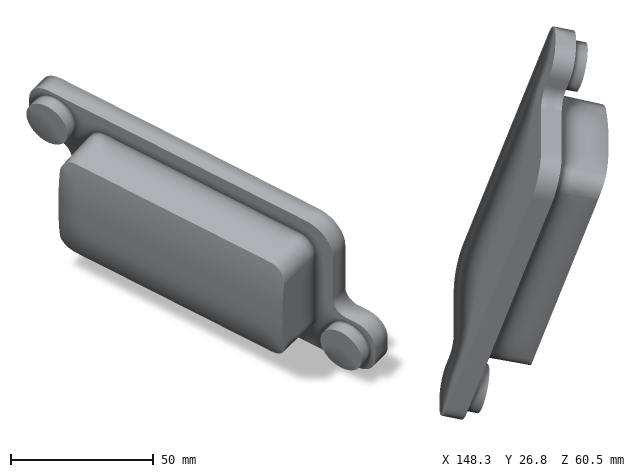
import cadquery as cq
import math


plate_length = 148.3
plate_height = 60.5
plate_thickness = 7.5
body_length = 112.0
ear_height = 22.0
ear_corner_radius = 8.3
ear_root_radius = 5.7
body_corner_radius = 11.4

pad_diameter = 17.7
pad_thickness = 5.0
pad_offset_x = 63.0
pad_offset_z = 19.4

block_length = 96.8
block_height = 45.2
block_rise = 19.3
block_corner_radius = 6.6
draft_angle = 1.2
crown_flat_height = 6.7
crown_radius = 93.0

half_length = plate_length / 2
half_height = plate_height / 2
half_body = body_length / 2
ear_inner_z = half_height - ear_height


def upright_edges_at(points):
    """Select the plate edges along Y at the given (x, z) points."""
    boxes = None
    reach = 0.1
    for x, z in points:
        box = cq.selectors.BoxSelector(
            (x - reach, -plate_thickness, z - reach),
            (x + reach, plate_thickness, z + reach),
        )
        boxes = box if boxes is None else boxes + box
    return boxes


def make_plate():
    """Z-shaped plate: back face at Y = plate_thickness, front face at Y = 0."""
    half_outline = [
        (-half_body, -half_height),
        (half_length, -half_height),
        (half_length, -ear_inner_z),
        (half_body, -ear_inner_z),
    ]
    opposite_half = [(-x, -z) for x, z in half_outline]
    plate = (
        cq.Workplane("XZ")
        .polyline(half_outline + opposite_half)
        .close()
        .extrude(-plate_thickness)
    )
    body_corner, ear_outer, ear_inner, ear_root = half_outline
    corner_radii = [
        ([body_corner], body_corner_radius),
        ([ear_outer, ear_inner], ear_corner_radius),
        ([ear_root], ear_root_radius),
    ]
    for corners, radius in corner_radii:
        mirrored = [(-x, -z) for x, z in corners]
        plate = plate.edges(upright_edges_at(corners + mirrored)).fillet(radius)
    return plate


def make_pads():
    """Round pads standing on the front face of the ears."""
    return (
        cq.Workplane("XZ")
        .pushPoints([(-pad_offset_x, pad_offset_z), (pad_offset_x, -pad_offset_z)])
        .circle(pad_diameter / 2)
        .extrude(pad_thickness)
    )


def make_crown_envelope():
    """Prism along X whose front is a flat strip flanked by tangent arcs."""
    half_flat = crown_flat_height / 2
    half_block = block_height / 2

    def crown_y(z):
        run = z - half_flat
        return -block_rise + crown_radius - math.sqrt(crown_radius**2 - run**2)

    middle_z = (half_flat + half_block) / 2
    return (
        cq.Workplane("YZ")
        .moveTo(0, -half_block)
        .lineTo(crown_y(half_block), -half_block)
        .threePointArc((crown_y(middle_z), -middle_z), (-block_rise, -half_flat))
        .lineTo(-block_rise, half_flat)
        .threePointArc((crown_y(middle_z), middle_z), (crown_y(half_block), half_block))
        .lineTo(0, half_block)
        .close()
        .extrude(block_length / 2, both=True)
    )


def make_block():
    """Drafted block with rounded corners, trimmed to the crowned front."""
    base = cq.Sketch().rect(block_length, block_height).vertices().fillet(block_corner_radius)
    drafted = cq.Workplane("XZ").placeSketch(base).extrude(block_rise, taper=draft_angle)
    return drafted.intersect(make_crown_envelope())


result = make_plate().union(make_pads()).union(make_block())